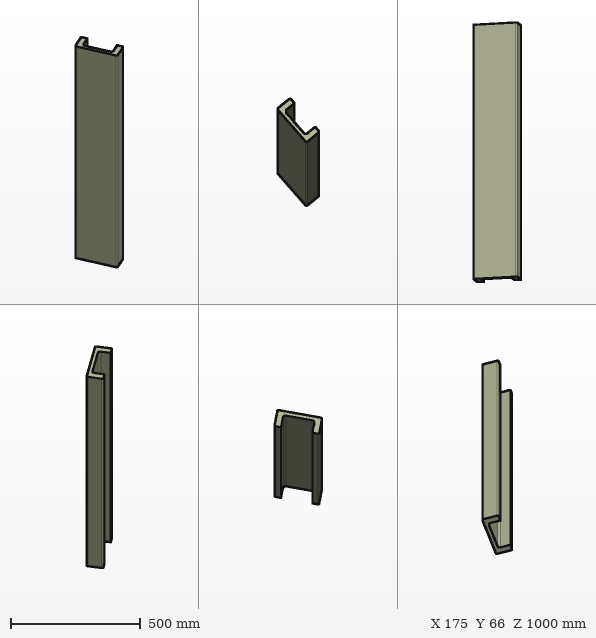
import cadquery as cq

width = 175.0
depth = 66.0
length = 1000.0
flange_thickness = 26.0
web_thickness = 17.0
outer_radius = 6.0
inner_radius = 10

channel_width = width - 2 * flange_thickness
channel_depth = depth - web_thickness

bar = (
    cq.Workplane("XY")
    .box(width, depth, length)
    .edges("|Z")
    .fillet(outer_radius)
)

channel = (
    cq.Workplane("XY")
    .box(channel_width, channel_depth, length)
    .edges("|Z and <Y")
    .fillet(inner_radius)
    .translate((0, web_thickness / 2, 0))
)

result = bar.cut(channel)